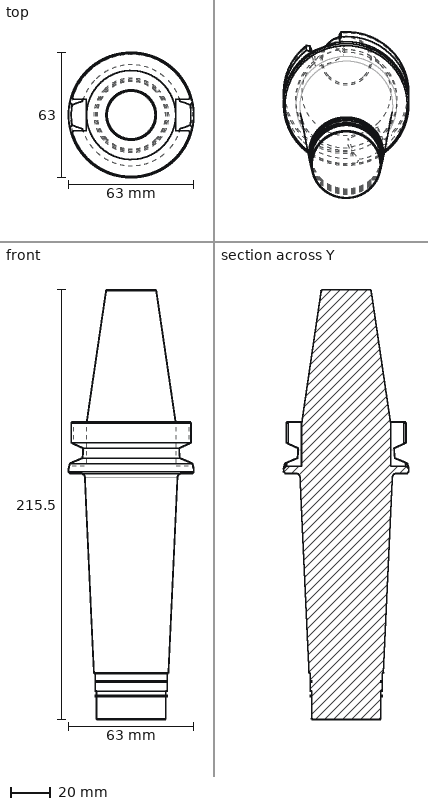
import cadquery as cq

total_length = 215.5
gauge_height = 150.0
flange_top = 149.0
flange_bottom = 123.2

gauge_radius = 22.2
taper_ratio = 7 / 24
tip_chamfer = 0.6
tip_radius = gauge_radius - (total_length - gauge_height) * taper_ratio / 2
taper_base_radius = gauge_radius + (gauge_height - flange_top) * taper_ratio / 2

flange_radius = 31.5
flange_top_chamfer = 0.6
flange_bottom_chamfer = 0.9
groove_radius = 25.5
groove_mouth_top = 138.7
groove_mouth_bottom = 128.2
groove_flank_height = 2.8

body_top_radius = 23.3
body_bottom_radius = 18.7
body_bottom = 23.5
blend_radius = 2.0

collar_radius = 18.0
collar_top = body_bottom - (body_bottom_radius - collar_radius)
nose_radius = 17.5
nose_top = 11.5
nose_chamfer = 0.5
nose_groove_depth = 0.6
wide_groove_bottom = 12.3
wide_groove_top = 14.2
fine_groove_bottom = 18.7
fine_groove_top = 19.4

slot_floor = 22.5
slot_radius = 8.0
slot_centre_height = 135.0
slot_mouth_radius = 20.0 / 2
slot_chamfer = 1.5


def revolved_body():
    """Solid of revolution about Z, from the tip of the taper down to the nose."""
    blend_end = flange_bottom - blend_radius
    profile = (
        cq.Workplane("XZ")
        .moveTo(0, total_length)
        .lineTo(tip_radius - tip_chamfer, total_length)
        .lineTo(tip_radius, total_length - tip_chamfer)
        .lineTo(taper_base_radius, flange_top)
        .lineTo(flange_radius - flange_top_chamfer, flange_top)
        .lineTo(flange_radius, flange_top - flange_top_chamfer)
        .lineTo(flange_radius, groove_mouth_top)
        .lineTo(groove_radius, groove_mouth_top - groove_flank_height)
        .lineTo(groove_radius, groove_mouth_bottom + groove_flank_height)
        .lineTo(flange_radius, groove_mouth_bottom)
        .lineTo(flange_radius, flange_bottom + flange_bottom_chamfer)
        .lineTo(flange_radius - flange_bottom_chamfer, flange_bottom)
        .lineTo(body_top_radius + blend_radius, flange_bottom)
        .radiusArc((body_top_radius, blend_end), -blend_radius)
        .lineTo(body_bottom_radius, body_bottom)
        .lineTo(collar_radius, collar_top)
        .lineTo(collar_radius, nose_top)
        .lineTo(nose_radius, nose_top)
        .lineTo(nose_radius, nose_chamfer)
        .lineTo(nose_radius - nose_chamfer, 0)
        .lineTo(0, 0)
        .close()
    )
    return profile.revolve(360, (0, 0, 0), (0, 1, 0))


def nose_groove(bottom, top):
    """Ring that cuts a groove into the collar."""
    return (
        cq.Workplane("XY")
        .workplane(offset=bottom)
        .circle(collar_radius + nose_groove_depth)
        .circle(collar_radius - nose_groove_depth)
        .extrude(top - bottom)
    )


def drive_slot(side):
    """Upright U-shaped cutter through the rim, on the +X (1) or -X (-1) side."""
    return (
        cq.Workplane("YZ", origin=(side * slot_floor, 0, 0))
        .moveTo(-slot_radius, flange_top)
        .lineTo(-slot_radius, slot_centre_height)
        .threePointArc((0, slot_centre_height - slot_radius), (slot_radius, slot_centre_height))
        .lineTo(slot_radius, flange_top)
        .close()
        .extrude(side * flange_radius)
    )


def slot_cutter():
    """Both drive slots with chamfered mouths, as the material missing from a plain rim."""
    rim = (
        cq.Workplane("XY")
        .workplane(offset=flange_bottom)
        .circle(flange_radius)
        .extrude(flange_top - flange_bottom)
    )
    slotted_rim = rim
    for side in (1, -1):
        slotted_rim = slotted_rim.cut(drive_slot(side))
    for side in (1, -1):
        mouth = cq.selectors.BoxSelector(
            (side * (slot_floor + 2.2), -slot_mouth_radius, flange_bottom + 2.2),
            (side * (flange_radius + 2.2), slot_mouth_radius, flange_top - 2.2),
        )
        slotted_rim = slotted_rim.edges(mouth).chamfer(slot_chamfer)
    return rim.cut(slotted_rim)


result = revolved_body()
for groove_bottom, groove_top in (
    (wide_groove_bottom, wide_groove_top),
    (fine_groove_bottom, fine_groove_top),
):
    result = result.cut(nose_groove(groove_bottom, groove_top))
result = result.cut(slot_cutter())